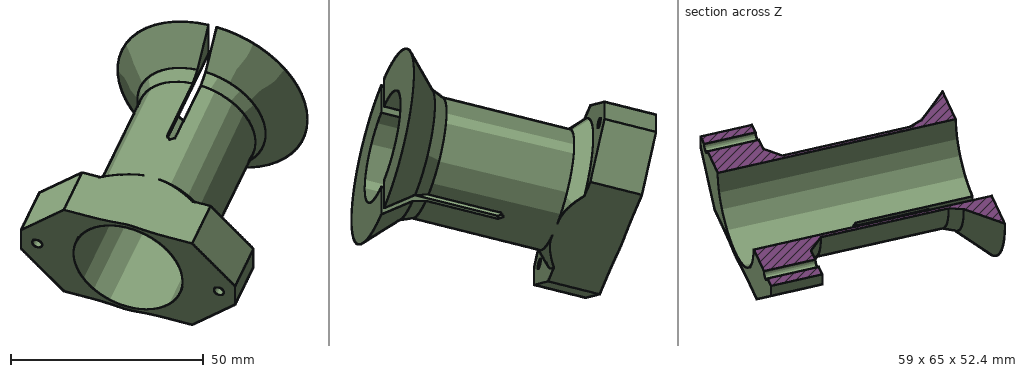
import cadquery as cq
import math

length = 65.0
base_width = 59.0

tube_radius = 32.4 / 2
bore_radius = 30.0 / 2

flare_radius = 26.2
flare_length = 8.5
transition_length = 3.65

base_thickness = 14.1
collar_height = 3.9
collar_top = base_thickness + collar_height
end_half_height = 3.5
corner_x = 17.7
side_blend_radius = 60.0
side_blend_x = 10.15

screw_diameter = 2.7
screw_x = 25.0
slot_width = 2.2
slot_tip_y = 32.05

blend_center_distance = tube_radius + side_blend_radius
base_half_height = math.sqrt(blend_center_distance**2 - side_blend_x**2) - side_blend_radius
blend_angle = math.asin(side_blend_x / blend_center_distance)

flare_start_y = length - flare_length
flare_start_radius = flare_radius - flare_length
transition_start_y = flare_start_y - transition_length


def extrude_along_y(sketch, distance):
    return sketch.extrude(-distance)


def flared_tube():
    """Solid tube body from the collar to the open end; the bore is cut later."""
    return (
        cq.Workplane("XY")
        .moveTo(0, collar_top)
        .lineTo(tube_radius, collar_top)
        .lineTo(tube_radius, transition_start_y)
        .lineTo(flare_start_radius, flare_start_y)
        .lineTo(flare_radius, length)
        .lineTo(0, length)
        .close()
        .revolve(360, (0, 0, 0), (0, 1, 0))
    )


def bore():
    return extrude_along_y(cq.Workplane("XZ").circle(bore_radius), length)


def base_prism(height):
    """Flange outline with concave blends from its flat sides up to the tube diameter."""
    blend_center_z = base_half_height + side_blend_radius

    def blend_point(angle):
        return (
            side_blend_x - side_blend_radius * math.sin(angle),
            blend_center_z - side_blend_radius * math.cos(angle),
        )

    middle = blend_point(blend_angle / 2)
    tangent = blend_point(blend_angle)
    outline = (
        cq.Workplane("XZ")
        .moveTo(base_width / 2, 0)
        .lineTo(base_width / 2, end_half_height)
        .lineTo(corner_x, base_half_height)
        .lineTo(side_blend_x, base_half_height)
        .threePointArc(middle, tangent)
        .threePointArc((0, tube_radius), (-tangent[0], tangent[1]))
        .threePointArc((-middle[0], middle[1]), (-side_blend_x, base_half_height))
        .lineTo(-corner_x, base_half_height)
        .lineTo(-base_width / 2, end_half_height)
        .lineTo(-base_width / 2, 0)
        .mirrorX()
    )
    return extrude_along_y(outline, height)


def base():
    """Flange topped by a 45 degree cone that narrows to the tube, both inside one outline."""
    envelope = (
        cq.Workplane("XY")
        .lineTo(base_width, 0)
        .lineTo(base_width, base_thickness)
        .lineTo(tube_radius + collar_height, base_thickness)
        .lineTo(tube_radius, collar_top)
        .lineTo(0, collar_top)
        .close()
        .revolve(360, (0, 0, 0), (0, 1, 0))
    )
    return base_prism(collar_top).intersect(envelope)


def screw_holes():
    centers = cq.Workplane("XZ").pushPoints([(-screw_x, 0), (screw_x, 0)])
    return extrude_along_y(centers.circle(screw_diameter / 2), base_thickness)


def expansion_slot():
    """Slot across the tube, open at the flared end, with a 90 degree pointed root."""
    half_width = slot_width / 2
    return (
        cq.Workplane("XY")
        .moveTo(0, slot_tip_y)
        .lineTo(half_width, slot_tip_y + half_width)
        .lineTo(half_width, length)
        .lineTo(-half_width, length)
        .lineTo(-half_width, slot_tip_y + half_width)
        .close()
        .extrude(flare_radius, both=True)
    )


body = base().union(flared_tube())
result = body.cut(bore()).cut(screw_holes()).cut(expansion_slot())